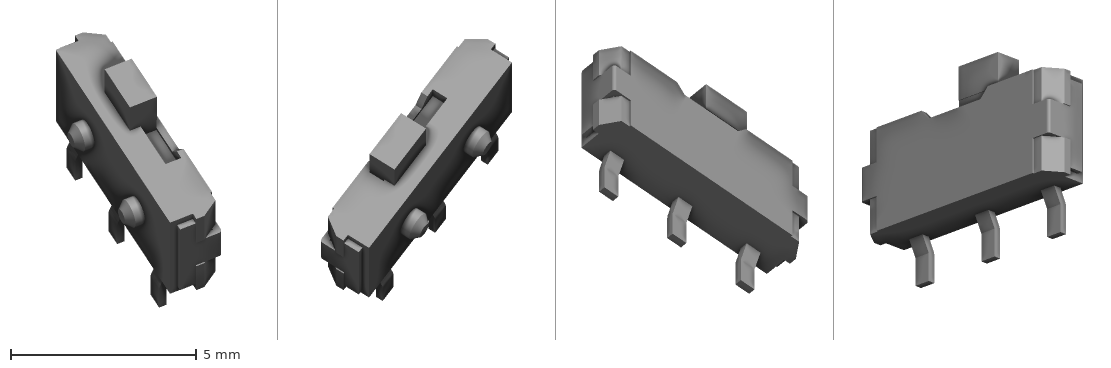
import cadquery as cq
import math


overall_length = 7.2
front_length = 6.78
body_height = 3.02
body_depth = 1.5
shoulder_start = 0.69
shoulder_end = 0.93
corner_half_length = 3.25
back_step_depth = 0.05
back_half_length = 2.95

clip_half_length = 3.565
clip_front = 0.215
clip_edge_inset = 0.22
clip_back_thickness = 0.2
clip_bend_radius = 0.09
arm_height = 0.99

slot_length = 3.025
slot_front = 0.82
slot_back = 1.295
slot_depth = 0.41
notch_top_length = 2.52
notch_bottom_length = 1.96
notch_depth = 0.3
knob_left = -1.46
knob_length = 1.5
knob_front = 0.5
knob_back = 1.32
knob_height = 0.99

peg_spacing = 2.995
peg_diameter = 0.81
peg_tip_diameter = 0.425
peg_length = 0.505
peg_cone_length = 0.215

lead_pitch = 2.49
lead_width = 0.505
lead_thickness = 0.215
lead_drop = 1.29
lead_root_back = 0.45
lead_bend_drop = 0.475
lead_bend_radius = 0.29

front_half_length = front_length / 2
mid_height = body_height / 2


def block(x0, x1, y0, y1, z0, z1):
    """Box between pairs of opposite faces."""
    return cq.Workplane("XY").box(x1 - x0, y1 - y0, z1 - z0, centered=False).translate((x0, y0, z0))


def both_ends(right_part):
    """The right-hand part together with its mirror image on the left."""
    return right_part.union(right_part.mirror("YZ"))


def make_housing():
    half_length = overall_length / 2
    step_back = body_depth - back_step_depth
    half_outline = [
        (0, 0),
        (front_half_length, 0),
        (front_half_length, shoulder_start),
        (half_length, shoulder_start),
        (half_length, shoulder_end),
        (corner_half_length, step_back),
        (back_half_length, step_back),
        (back_half_length, body_depth),
        (0, body_depth),
    ]
    return both_ends(cq.Workplane("XY").polyline(half_outline).close().extrude(body_height))


def make_arm_gaps():
    """Openings in the shoulders where the clip arms pass to the back."""
    return both_ends(block(
        front_half_length, overall_length / 2, shoulder_start, body_depth,
        mid_height - arm_height / 2, mid_height + arm_height / 2,
    ))


def make_clips():
    """Side plates with a narrower arm bent around each back corner."""
    plate = block(
        front_half_length, clip_half_length, clip_front, shoulder_start,
        clip_edge_inset, body_height - clip_edge_inset,
    )
    arm_bottom = mid_height - arm_height / 2
    arm_top = mid_height + arm_height / 2
    arm = block(back_half_length, clip_half_length, shoulder_start, body_depth, arm_bottom, arm_top)
    arm = arm.edges("|Z and >X and >Y").fillet(clip_bend_radius)
    inside = block(
        back_half_length, front_half_length, shoulder_start, body_depth - clip_back_thickness,
        arm_bottom, arm_top,
    )
    return both_ends(plate.union(arm.cut(inside)))


def make_slot():
    slot = block(
        -slot_length / 2, slot_length / 2, slot_front, slot_back,
        body_height - slot_depth, body_height,
    )
    notch_floor = body_height - notch_depth
    notch = (
        cq.Workplane("XZ", origin=(0, body_depth, 0))
        .polyline([
            (-notch_top_length / 2, body_height),
            (-notch_bottom_length / 2, notch_floor),
            (notch_bottom_length / 2, notch_floor),
            (notch_top_length / 2, body_height),
        ])
        .close()
        .extrude(body_depth - slot_back)
    )
    return slot.union(notch)


def make_knob():
    """Knob above the housing, on a stem that stands on the slot floor."""
    knob_right = knob_left + knob_length
    knob_top = body_height + knob_height
    knob = block(knob_left, knob_right, knob_front, knob_back, body_height, knob_top)
    stem = block(
        knob_left, knob_right, slot_front, slot_back, body_height - slot_depth, body_height,
    )
    return knob.union(stem)


def make_peg(x):
    radius = peg_diameter / 2
    tip_radius = peg_tip_diameter / 2
    half_section = [
        (0, 0),
        (radius, 0),
        (radius, peg_cone_length - peg_length),
        (tip_radius, -peg_length),
        (0, -peg_length),
    ]
    peg = cq.Workplane("XY").polyline(half_section).close().revolve(360, (0, 0), (0, 1))
    return peg.translate((x, 0, mid_height))


def make_lead(x):
    """Flat lead sloping forward out of the housing, then straight down."""
    slope = (lead_root_back - lead_thickness) / lead_bend_drop
    tilt = math.atan(slope)
    root_front = lead_root_back - lead_thickness / math.cos(tilt)
    front_corner = -root_front / slope
    tangent = lead_bend_radius * math.tan(tilt / 2)
    bend_start = (tangent * math.sin(tilt), front_corner + tangent * math.cos(tilt))
    bend_middle = (lead_bend_radius * (1 - math.cos(tilt / 2)),
                   front_corner - tangent + lead_bend_radius * math.sin(tilt / 2))
    return (
        cq.Workplane("YZ", origin=(x - lead_width / 2, 0, 0))
        .moveTo(root_front, 0)
        .lineTo(*bend_start)
        .threePointArc(bend_middle, (0, front_corner - tangent))
        .lineTo(0, -lead_drop)
        .lineTo(lead_thickness, -lead_drop)
        .lineTo(lead_thickness, -lead_bend_drop)
        .lineTo(lead_root_back, 0)
        .close()
        .extrude(lead_width)
    )


result = make_housing().cut(make_arm_gaps()).union(make_clips())
result = result.cut(make_slot()).union(make_knob())
for side in (-1, 1):
    result = result.union(make_peg(side * peg_spacing / 2))
for position in (-1, 0, 1):
    result = result.union(make_lead(position * lead_pitch))